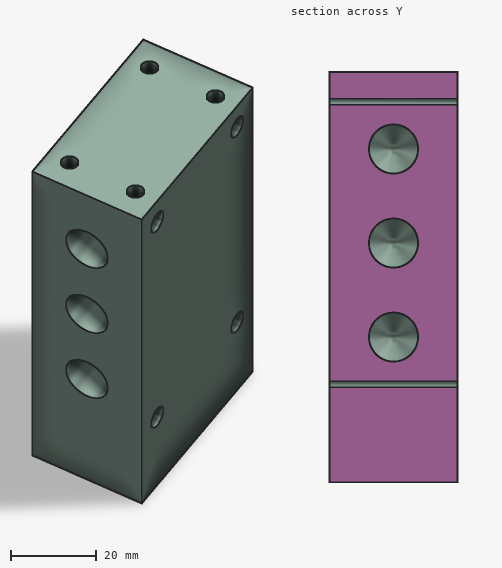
import cadquery as cq
import math

width = 30.0
depth = 50.0
height = 96.0

port_diameter = 11.4
port_straight_depth = 19.2
port_pitch = 22.0
middle_port_z = 8.0
drill_tip_angle = 118.0

cross_hole_diameter = 5.5
cross_hole_spacing_y = 36.0
cross_hole_spacing_z = 66.0

top_hole_diameter = 4.1
top_hole_spacing_x = 18.0
top_hole_spacing_y = cross_hole_spacing_y
top_hole_depth = height / 2 - (middle_port_z + cross_hole_spacing_z / 2)


def make_port():
    """Drilled port shape along +Y, with its mouth at the origin."""
    radius = port_diameter / 2
    tip_length = radius / math.tan(math.radians(drill_tip_angle / 2))
    profile = (
        cq.Workplane("XY")
        .lineTo(radius, 0)
        .lineTo(radius, port_straight_depth)
        .lineTo(0, port_straight_depth + tip_length)
        .close()
    )
    return profile.revolve(360, (0, 0, 0), (0, 1, 0))


def corner_pins(plane, spacing_1, spacing_2, diameter, length):
    """Four cylinders standing on a workplane at the corners of a rectangle."""
    corners = plane.rect(spacing_1, spacing_2, forConstruction=True).vertices()
    return corners.circle(diameter / 2).extrude(length)


body = cq.Workplane("XY").box(width, depth, height)

port = make_port()
for step in (-1, 0, 1):
    body = body.cut(port.translate((0, -depth / 2, middle_port_z + step * port_pitch)))

side_plane = cq.Workplane("YZ", origin=(-width / 2, 0, middle_port_z))
cross_holes = corner_pins(
    side_plane, cross_hole_spacing_y, cross_hole_spacing_z, cross_hole_diameter, width
)
body = body.cut(cross_holes)

top_plane = cq.Workplane("XY", origin=(0, 0, height / 2))
top_holes = corner_pins(
    top_plane, top_hole_spacing_x, top_hole_spacing_y, top_hole_diameter, -top_hole_depth
)
body = body.cut(top_holes)

result = body